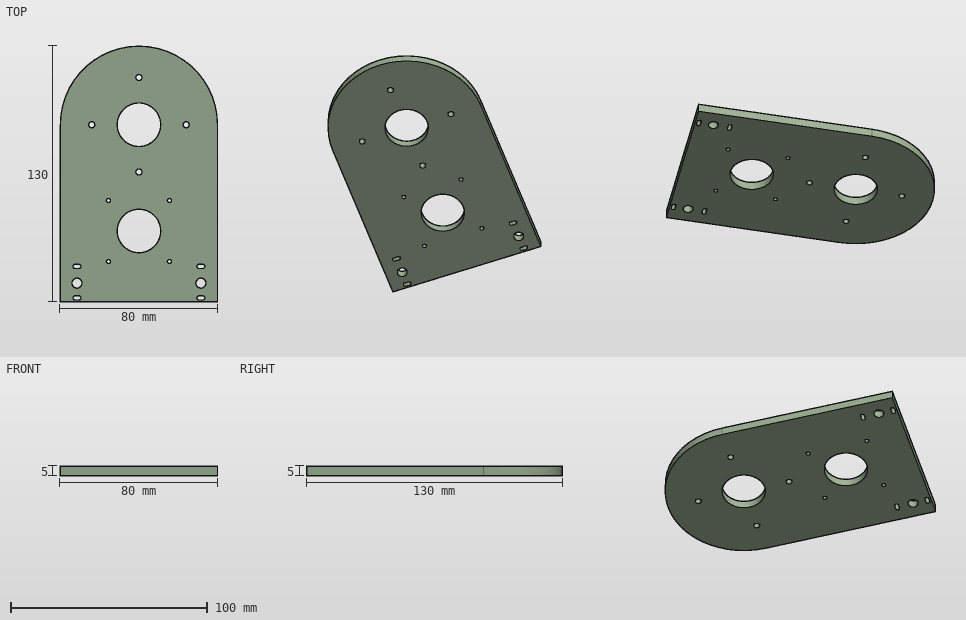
import cadquery as cq

width = 80.0
length = 130.0
thickness = 5.0
end_radius = width / 2
arc_center_y = length - end_radius

bore_diameter = 22.0
bore_spacing = 54.0
lower_bore_y = arc_center_y - bore_spacing

bolt_circle_radius = 24.0
bolt_hole_diameter = 3.0
bolt_hole_count = 4

screw_pitch = 31.0
screw_hole_diameter = 2.0

mount_spacing = 63.0
mount_hole_diameter = 5.0
mount_hole_y = 9.5
slot_length = 4.0
slot_width = 2.0
lower_slot_y = 2.0
upper_slot_y = 18.0


def make_plate():
    return (
        cq.Workplane("XY")
        .moveTo(-end_radius, 0)
        .lineTo(end_radius, 0)
        .lineTo(end_radius, arc_center_y)
        .threePointArc((0, length), (-end_radius, arc_center_y))
        .close()
        .extrude(thickness)
    )


def cut_bores(plate):
    centers = [(0, arc_center_y), (0, lower_bore_y)]
    bores = cq.Workplane("XY").pushPoints(centers).circle(bore_diameter / 2).extrude(thickness)
    return plate.cut(bores)


def cut_bolt_circle(plate):
    holes = (
        cq.Workplane("XY")
        .center(0, arc_center_y)
        .polarArray(bolt_circle_radius, 0, 360, bolt_hole_count)
        .circle(bolt_hole_diameter / 2)
        .extrude(thickness)
    )
    return plate.cut(holes)


def cut_screw_square(plate):
    holes = (
        cq.Workplane("XY")
        .center(0, lower_bore_y)
        .rarray(screw_pitch, screw_pitch, 2, 2)
        .circle(screw_hole_diameter / 2)
        .extrude(thickness)
    )
    return plate.cut(holes)


def cut_mount_group(plate, x):
    hole = cq.Workplane("XY").center(x, mount_hole_y).circle(mount_hole_diameter / 2).extrude(thickness)
    slots = (
        cq.Workplane("XY")
        .pushPoints([(x, lower_slot_y), (x, upper_slot_y)])
        .slot2D(slot_length, slot_width)
        .extrude(thickness)
    )
    return plate.cut(hole).cut(slots)


result = make_plate()
result = cut_bores(result)
result = cut_bolt_circle(result)
result = cut_screw_square(result)
for mount_x in (-mount_spacing / 2, mount_spacing / 2):
    result = cut_mount_group(result, mount_x)